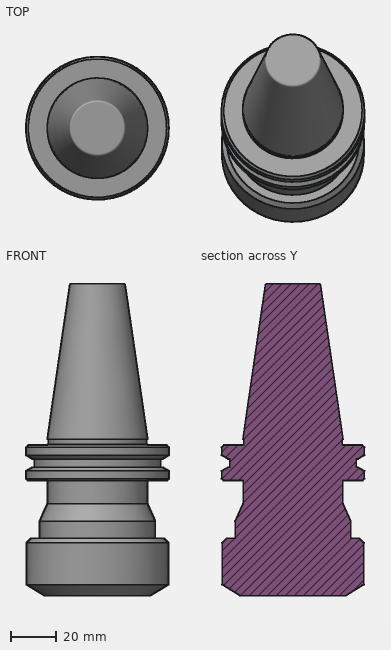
import cadquery as cq
import math

total_height = 138.4

nut_radius = 31.5
nut_base_radius = 23.5
nut_rim_radius = 29.5
nut_base_cone_top = 5.0
nut_chamfer_bottom = 23.5
nut_top = 25.6

body_radius = 25.7
body_top = 33.1
neck_radius = 22.3
neck_bottom = 40.8

flange_diameter = 63.5
flange_radius = flange_diameter / 2
flange_bottom = 51.1
flange_top = 66.8
flange_bottom_chamfer = 0.8
flange_top_chamfer = 1.1
groove_floor_radius = 28.1
groove_flank_radius = 28.9
groove_center = 58.8
groove_mouth_width = 6.9
groove_floor_width = 3.6

relief_radius = 21.9
relief_foot_chamfer = 0.4
gauge_height = 69.8
gauge_land_height = 0.3
gauge_radius = 22.3
taper_ratio = 7 / 24
tip_round = 1.0


def nut_profile():
    return [
        (0, 0),
        (nut_base_radius, 0),
        (nut_radius, nut_base_cone_top),
        (nut_radius, nut_chamfer_bottom),
        (nut_rim_radius, nut_top),
    ]


def body_profile():
    return [
        (body_radius, nut_top),
        (body_radius, body_top),
        (neck_radius, neck_bottom),
        (neck_radius, flange_bottom),
    ]


def flange_profile():
    half_mouth = groove_mouth_width / 2
    half_floor = groove_floor_width / 2
    return [
        (flange_radius - flange_bottom_chamfer, flange_bottom),
        (flange_radius, flange_bottom + flange_bottom_chamfer),
        (flange_radius, groove_center - half_mouth),
        (groove_flank_radius, groove_center - half_floor),
        (groove_floor_radius, groove_center - half_floor),
        (groove_floor_radius, groove_center + half_floor),
        (groove_flank_radius, groove_center + half_floor),
        (flange_radius, groove_center + half_mouth),
        (flange_radius, flange_top - flange_top_chamfer),
        (flange_radius - flange_top_chamfer, flange_top),
    ]


def shank_profile():
    tip_edge_height = total_height - tip_round
    tip_radius = gauge_radius - taper_ratio / 2 * (tip_edge_height - gauge_height)
    return [
        (relief_radius + relief_foot_chamfer, flange_top),
        (relief_radius, flange_top + relief_foot_chamfer),
        (relief_radius, gauge_height - gauge_land_height),
        (gauge_radius, gauge_height - gauge_land_height),
        (gauge_radius, gauge_height),
        (tip_radius, tip_edge_height),
    ]


outline = nut_profile() + body_profile() + flange_profile() + shank_profile()
tip_radius = outline[-1][0]
tip_face_radius = tip_radius - tip_round
tip_arc_middle = (
    tip_face_radius + tip_round * math.cos(math.pi / 4),
    total_height - tip_round + tip_round * math.sin(math.pi / 4),
)
half_section = (
    cq.Workplane("XZ")
    .polyline(outline)
    .threePointArc(tip_arc_middle, (tip_face_radius, total_height))
    .lineTo(0, total_height)
    .close()
)
result = half_section.revolve(360, (0, 0, 0), (0, 1, 0))